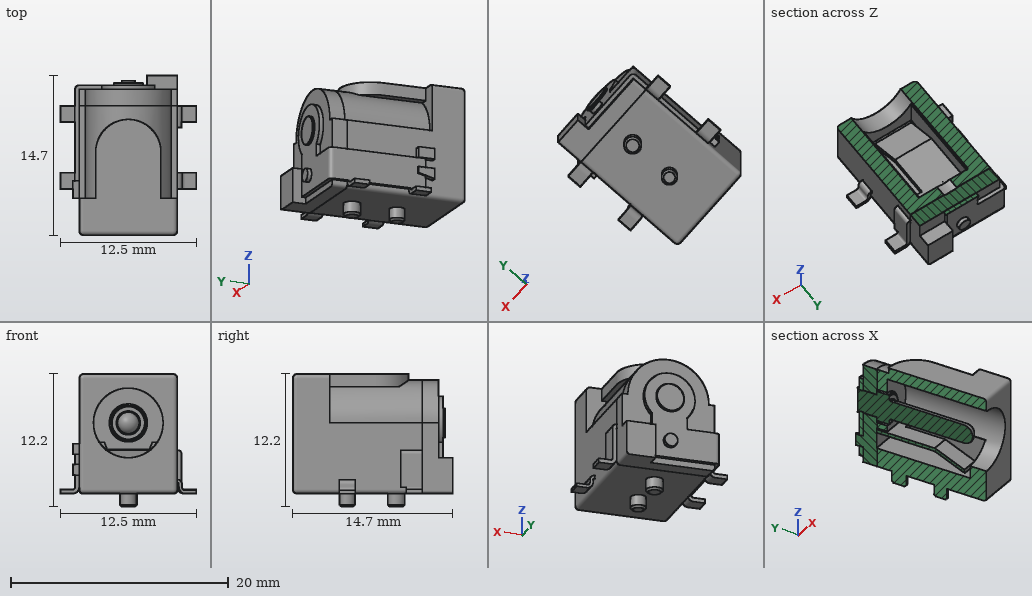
import cadquery as cq
import math


WIDTH = 9.0
HALF_WIDTH = WIDTH / 2
HEIGHT = 11.0
FRONT_BLOCK_DEPTH = 3.4
HOUSING_DEPTH = 11.9
EDGE_RADIUS = 0.4
AXIS_Z = 6.5
BARREL_RADIUS = 3.95
TONGUE_WIDTH = 6.0
TONGUE_END = 10.65
TONGUE_BOTTOM = 9.8
BORE_DIAMETER = 6.4
BORE_DEPTH = 10.75
COLLAR_HOLE_DIAMETER = 3.5

SLOT_WIDTH = 5.4
SLOT_FRONT = 1.8
SLOT_BOTTOM = 2.0
SLOT_TOP = 4.7
WEB_TONGUE_TOP_WIDTH = 4.4
WEB_TONGUE_BOTTOM_WIDTH = 3.9
WEB_TONGUE_BOTTOM = 4.1

PEG_LENGTH = 1.2
PEG_CHAMFER = 0.2
PEGS = [(5.0, 1.45), (9.5, 1.6)]

HOOK_REACH = 0.6
HOOK_REAR = 5.0
UPPER_HOOK_HEIGHT = 1.0
LOWER_HOOK_TOP = 2.7
LOWER_HOOK_BOTTOM_FRONT = 1.7
LOWER_HOOK_BOTTOM_REAR = 2.1

CAP_REAR = 13.4
CAP_EDGE_RADIUS = 0.3
FOOT_BLOCK_LEFT = 1.7
FOOT_BLOCK_HEIGHT = 3.3
FOOT_BLOCK_REAR = 14.7
POST_DIAMETER = 1.25
POST_Z = 2.2
POST_END = 14.2

PIN_DIAMETER = 2.0
PIN_TIP = 1.5
PIN_SHANK_DIAMETER = 2.2
COLLAR_DIAMETER = 3.2
COLLAR_FRONT = 10.5
COLLAR_CHAMFER = 0.1
RIVET_SHANK_DIAMETER = 2.35
RIVET_HEAD_DIAMETER = 2.7
RIVET_HEAD_THICKNESS = 0.2
RIVET_HEAD_CHAMFER = 0.05

TERMINAL_SPAN = 12.5
FOOT_END = TERMINAL_SPAN / 2
BEND_TOP = 0.6
LEG_WIDTH = 1.5
FRONT_LEG_Y = 4.25
REAR_LEG_Y = HOUSING_DEPTH - LEG_WIDTH

PLATE_THICKNESS = 0.4
PLATE_OUTER = HALF_WIDTH + PLATE_THICKNESS
PLATE_TOP = 3.6
STRAP_REAR = CAP_REAR + PLATE_THICKNESS
STRAP_CORNER_RADIUS = 0.4
STRAP_DISC_DIAMETER = 4.9
NECK_FILLET = 0.1

SPRING_TOP = 4.0
SPRING_TAB_WIDTH = 2.0
SPRING_BEND_RADIUS = 0.35
SPRING_LEFT = -2.3
SPRING_RIGHT = 1.8
SPRING_CREST_Y = 5.6
SPRING_TIP_Y = 2.4
SPRING_TIP_TOP = 2.7

CONTACT_THICKNESS = 0.3
CONTACT_TOP = 1.3
CONTACT_OUTER = HALF_WIDTH + 0.45
CONTACT_INNER_END = 2.0


def box(x0, x1, y0, y1, z0, z1):
    """Block between two opposite corners."""
    return cq.Workplane("XY").box(x1 - x0, y1 - y0, z1 - z0, centered=False).translate((x0, y0, z0))


def rod(diameter, y0, y1, z=AXIS_Z):
    """Cylinder along Y, centred on X = 0."""
    return front_plane(y0).center(0, z).circle(diameter / 2).extrude(y0 - y1)


def front_plane(y):
    """Sketch plane at depth y, with X to the right and Z up."""
    return cq.Workplane("XZ", origin=(0, y, 0))


def arc_point(cx, cz, radius, degrees):
    """Point on a bend of the given centre and radius, in the XZ plane."""
    angle = math.radians(degrees)
    return (cx + radius * math.cos(angle), cz + radius * math.sin(angle))


def bent_leg(y, outer_x, thickness):
    """Leg on the +X side: drops from BEND_TOP and bends outward into a flat foot on the seating plane."""
    inner_x = outer_x - thickness
    centre_x = inner_x + BEND_TOP
    inside_radius = BEND_TOP - thickness
    return (
        front_plane(y)
        .moveTo(inner_x, BEND_TOP)
        .threePointArc(arc_point(centre_x, BEND_TOP, BEND_TOP, 225), (centre_x, 0))
        .lineTo(FOOT_END, 0)
        .lineTo(FOOT_END, thickness)
        .lineTo(centre_x, thickness)
        .threePointArc(arc_point(centre_x, BEND_TOP, inside_radius, 225), (outer_x, BEND_TOP))
        .close()
        .extrude(-LEG_WIDTH)
    )


def make_pin_terminal(hooks):
    wrap = box(-PLATE_OUTER, FOOT_BLOCK_LEFT, FRONT_LEG_Y, STRAP_REAR, BEND_TOP, PLATE_TOP)
    wrap = wrap.edges("|Z and <X and >Y").fillet(STRAP_CORNER_RADIUS)
    wrap = wrap.cut(box(-HALF_WIDTH, HALF_WIDTH, 0, CAP_REAR, 0, HEIGHT))
    neck = box(-FOOT_BLOCK_LEFT, FOOT_BLOCK_LEFT, CAP_REAR, STRAP_REAR, BEND_TOP, AXIS_Z)
    terminal = wrap.union(neck)
    neck_root = (-FOOT_BLOCK_LEFT, CAP_REAR + PLATE_THICKNESS / 2, PLATE_TOP)
    terminal = terminal.edges(cq.selectors.NearestToPointSelector(neck_root)).fillet(NECK_FILLET)
    terminal = terminal.union(rod(STRAP_DISC_DIAMETER, CAP_REAR, STRAP_REAR))
    for y in (FRONT_LEG_Y, REAR_LEG_Y):
        terminal = terminal.union(bent_leg(y, PLATE_OUTER, PLATE_THICKNESS).mirror("YZ"))
    terminal = terminal.cut(rod(RIVET_SHANK_DIAMETER, CAP_REAR, STRAP_REAR))
    terminal = terminal.cut(rod(POST_DIAMETER, CAP_REAR, STRAP_REAR, POST_Z))
    return terminal.cut(hooks)


def make_spring_terminal():
    tab_front = HOUSING_DEPTH - SPRING_TAB_WIDTH
    blade_bottom = SPRING_TOP - PLATE_THICKNESS
    tab = box(HALF_WIDTH, PLATE_OUTER, tab_front, HOUSING_DEPTH, BEND_TOP, SPRING_TOP)
    cross = box(SPRING_LEFT, PLATE_OUTER, tab_front, HOUSING_DEPTH, blade_bottom, SPRING_TOP)
    bracket = tab.union(cross).edges("|Y and >X and >Z").fillet(SPRING_BEND_RADIUS)
    blade = (
        cq.Workplane("YZ", origin=(SPRING_LEFT, 0, 0))
        .moveTo(HOUSING_DEPTH, SPRING_TOP)
        .lineTo(SPRING_CREST_Y, SPRING_TOP)
        .lineTo(SPRING_TIP_Y, SPRING_TIP_TOP)
        .lineTo(SPRING_TIP_Y, SPRING_TIP_TOP - PLATE_THICKNESS)
        .lineTo(SPRING_CREST_Y, blade_bottom)
        .lineTo(HOUSING_DEPTH, blade_bottom)
        .close()
        .extrude(SPRING_RIGHT - SPRING_LEFT)
    )
    return bracket.union(blade).union(bent_leg(REAR_LEG_Y, PLATE_OUTER, PLATE_THICKNESS))


def make_fixed_contact():
    bend_radius = CONTACT_OUTER - HALF_WIDTH
    inside_radius = bend_radius - CONTACT_THICKNESS
    centre_z = CONTACT_TOP - bend_radius
    strip = (
        front_plane(FRONT_LEG_Y)
        .moveTo(CONTACT_INNER_END, CONTACT_TOP)
        .lineTo(HALF_WIDTH, CONTACT_TOP)
        .threePointArc(arc_point(HALF_WIDTH, centre_z, bend_radius, 45), (CONTACT_OUTER, centre_z))
        .lineTo(CONTACT_OUTER, BEND_TOP)
        .lineTo(CONTACT_OUTER - CONTACT_THICKNESS, BEND_TOP)
        .lineTo(CONTACT_OUTER - CONTACT_THICKNESS, centre_z)
        .threePointArc(
            arc_point(HALF_WIDTH, centre_z, inside_radius, 45),
            (HALF_WIDTH, CONTACT_TOP - CONTACT_THICKNESS),
        )
        .lineTo(CONTACT_INNER_END, CONTACT_TOP - CONTACT_THICKNESS)
        .close()
        .extrude(-LEG_WIDTH)
    )
    return strip.union(bent_leg(FRONT_LEG_Y, CONTACT_OUTER, CONTACT_THICKNESS))


def make_hooks():
    """Two hooks on the -X wall: a block above the side plate and a wedge across it."""
    hook_outer = -HALF_WIDTH - HOOK_REACH
    upper = box(
        hook_outer, -HALF_WIDTH, FRONT_BLOCK_DEPTH, HOOK_REAR, PLATE_TOP, PLATE_TOP + UPPER_HOOK_HEIGHT
    )
    lower = (
        cq.Workplane("YZ", origin=(hook_outer, 0, 0))
        .moveTo(FRONT_BLOCK_DEPTH, LOWER_HOOK_TOP)
        .lineTo(HOOK_REAR, LOWER_HOOK_TOP)
        .lineTo(HOOK_REAR, LOWER_HOOK_BOTTOM_REAR)
        .lineTo(FRONT_BLOCK_DEPTH, LOWER_HOOK_BOTTOM_FRONT)
        .close()
        .extrude(HOOK_REACH)
    )
    return upper.union(lower)


def make_tongue():
    """Round-ended tongue on top of the barrel."""
    half = TONGUE_WIDTH / 2
    arc_start = TONGUE_END - half
    return (
        cq.Workplane("XY", origin=(0, 0, TONGUE_BOTTOM))
        .moveTo(-half, 0)
        .lineTo(half, 0)
        .lineTo(half, arc_start)
        .threePointArc((0, TONGUE_END), (-half, arc_start))
        .close()
        .extrude(HEIGHT - TONGUE_BOTTOM)
    )


def make_slot():
    """Spring slot below the bore; a tapered tongue of the bore's end web hangs into it."""
    half = SLOT_WIDTH / 2
    slot = box(-half, half, SLOT_FRONT, HOUSING_DEPTH, SLOT_BOTTOM, SLOT_TOP)
    web_tongue = (
        front_plane(BORE_DEPTH)
        .moveTo(-WEB_TONGUE_TOP_WIDTH / 2, SLOT_TOP)
        .lineTo(WEB_TONGUE_TOP_WIDTH / 2, SLOT_TOP)
        .lineTo(WEB_TONGUE_BOTTOM_WIDTH / 2, WEB_TONGUE_BOTTOM)
        .lineTo(-WEB_TONGUE_BOTTOM_WIDTH / 2, WEB_TONGUE_BOTTOM)
        .close()
        .extrude(BORE_DEPTH - HOUSING_DEPTH)
    )
    return slot.cut(web_tongue)


def make_peg(y, diameter):
    peg = cq.Workplane("XY").center(0, y).circle(diameter / 2).extrude(-PEG_LENGTH)
    return peg.faces("<Z").chamfer(PEG_CHAMFER)


def make_housing(hooks, spring_terminal, fixed_contact):
    blank = box(-HALF_WIDTH, HALF_WIDTH, 0, HOUSING_DEPTH, 0, HEIGHT)
    blank = blank.edges("|Y or <Y").fillet(EDGE_RADIUS)
    outline = box(-HALF_WIDTH, HALF_WIDTH, 0, FRONT_BLOCK_DEPTH, 0, HEIGHT)
    outline = outline.union(box(-HALF_WIDTH, HALF_WIDTH, 0, HOUSING_DEPTH, 0, AXIS_Z))
    outline = outline.union(rod(2 * BARREL_RADIUS, 0, HOUSING_DEPTH))
    outline = outline.union(make_tongue())
    housing = blank.intersect(outline)
    housing = housing.cut(rod(BORE_DIAMETER, 0, BORE_DEPTH))
    housing = housing.cut(rod(COLLAR_HOLE_DIAMETER, BORE_DEPTH, HOUSING_DEPTH))
    housing = housing.cut(make_slot())
    for y, diameter in PEGS:
        housing = housing.union(make_peg(y, diameter))
    housing = housing.union(hooks)
    return housing.cut(spring_terminal).cut(fixed_contact)


def make_cap():
    base = box(-HALF_WIDTH, HALF_WIDTH, HOUSING_DEPTH, CAP_REAR, 0, AXIS_Z)
    base = base.edges("|Y and <Z").fillet(CAP_EDGE_RADIUS)
    foot_block = box(FOOT_BLOCK_LEFT, HALF_WIDTH, CAP_REAR, FOOT_BLOCK_REAR, 0, FOOT_BLOCK_HEIGHT)
    foot_block = foot_block.edges("|Y and <Z and >X").fillet(CAP_EDGE_RADIUS)
    cap = base.union(rod(2 * BARREL_RADIUS, HOUSING_DEPTH, CAP_REAR))
    cap = cap.union(foot_block)
    cap = cap.union(rod(POST_DIAMETER, CAP_REAR, POST_END, POST_Z))
    return cap.cut(rod(RIVET_SHANK_DIAMETER, HOUSING_DEPTH, CAP_REAR))


def make_pin():
    pin_radius = PIN_DIAMETER / 2
    root = (PIN_SHANK_DIAMETER - PIN_DIAMETER) / 2
    tip_centre = PIN_TIP + pin_radius
    head_rear = STRAP_REAR + RIVET_HEAD_THICKNESS
    half_profile = (
        cq.Workplane("XY")
        .moveTo(0, PIN_TIP)
        .threePointArc(
            (pin_radius * math.sin(math.pi / 4), tip_centre - pin_radius * math.cos(math.pi / 4)),
            (pin_radius, tip_centre),
        )
        .lineTo(pin_radius, COLLAR_FRONT - root)
        .lineTo(pin_radius + root, COLLAR_FRONT)
        .lineTo(COLLAR_DIAMETER / 2 - COLLAR_CHAMFER, COLLAR_FRONT)
        .lineTo(COLLAR_DIAMETER / 2, COLLAR_FRONT + COLLAR_CHAMFER)
        .lineTo(COLLAR_DIAMETER / 2, HOUSING_DEPTH)
        .lineTo(RIVET_SHANK_DIAMETER / 2, HOUSING_DEPTH)
        .lineTo(RIVET_SHANK_DIAMETER / 2, STRAP_REAR)
        .lineTo(RIVET_HEAD_DIAMETER / 2, STRAP_REAR)
        .lineTo(RIVET_HEAD_DIAMETER / 2, head_rear - RIVET_HEAD_CHAMFER)
        .lineTo(RIVET_HEAD_DIAMETER / 2 - RIVET_HEAD_CHAMFER, head_rear)
        .lineTo(0, head_rear)
        .close()
    )
    return half_profile.revolve(360, (0, 0, 0), (0, 1, 0)).translate((0, 0, AXIS_Z))


hooks = make_hooks()
pin_terminal = make_pin_terminal(hooks)
spring_terminal = make_spring_terminal()
fixed_contact = make_fixed_contact()
housing = make_housing(hooks, spring_terminal, fixed_contact)
cap = make_cap()
pin = make_pin()

bodies = [housing, cap, pin, pin_terminal, spring_terminal, fixed_contact]
result = cq.Compound.makeCompound([body.solids().val() for body in bodies])